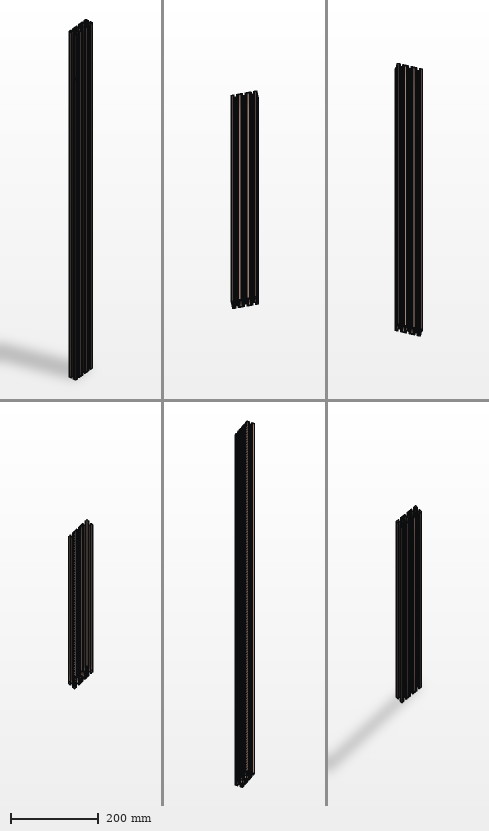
import cadquery as cq

length = 1000.0
module = 20.0
cell_count = 3
width = module
depth = module * cell_count

wall = 1.8
mouth_width = 6.0
corner_radius = 1.0
channel_width = 11.0
core_half = 3.9
rib = 1.5
bore_diameter = 4.2
groove_width = 2.0
groove_depth = 0.4

half_module = module / 2
skin = half_module - wall
floor_half = core_half - rib / 2 * 2**0.5
channel_half = channel_width / 2
rib_offset = core_half - floor_half

cell_centres = [module * (i - (cell_count - 1) / 2) for i in range(cell_count)]
cavity_centres = [(a + b) / 2 for a, b in zip(cell_centres, cell_centres[1:])]


def mirrored_outline(half_outline):
    """Complete an outline given for y >= 0 with its mirror image; points on the X axis are not repeated."""
    return half_outline + [(x, -y) for x, y in reversed(half_outline) if y > 0]


def full_length(outline):
    """Extrude a closed outline over the whole length."""
    return cq.Workplane("XY").polyline(outline).close().extrude(length)


def slot_cutter():
    """T-slot opening toward +X with a V-groove in its floor, for a cell centred on the origin."""
    return full_length(
        mirrored_outline(
            [
                (core_half - groove_depth, 0),
                (core_half, groove_width / 2),
                (core_half, floor_half),
                (channel_half + rib_offset, channel_half),
                (skin, channel_half),
                (skin, mouth_width / 2),
                (half_module, mouth_width / 2),
            ]
        )
    )


def cavity_cutter():
    """Closed hollow between two neighbouring cells, centred on the origin."""
    neck = half_module - core_half
    arm = half_module - channel_half - wall
    shoulder = floor_half + neck - arm
    return full_length(
        mirrored_outline(
            [
                (-skin, arm),
                (-shoulder, arm),
                (-floor_half, neck),
                (floor_half, neck),
                (shoulder, arm),
                (skin, arm),
            ]
        )
    )


result = cq.Workplane("XY").rect(width, depth).extrude(length)
result = result.edges("|Z").fillet(corner_radius)

z_axis = ((0, 0, 0), (0, 0, 1))
slot = slot_cutter()
for y in cell_centres:
    for turn in (0, 180):
        result = result.cut(slot.rotate(*z_axis, turn).translate((0, y, 0)))

for y, turn in ((cell_centres[0], -90), (cell_centres[-1], 90)):
    result = result.cut(slot.rotate(*z_axis, turn).translate((0, y, 0)))

cavity = cavity_cutter()
for y in cavity_centres:
    result = result.cut(cavity.translate((0, y, 0)))

bore_points = [(0, y) for y in cell_centres]
bores = cq.Workplane("XY").pushPoints(bore_points).circle(bore_diameter / 2).extrude(length)
result = result.cut(bores)